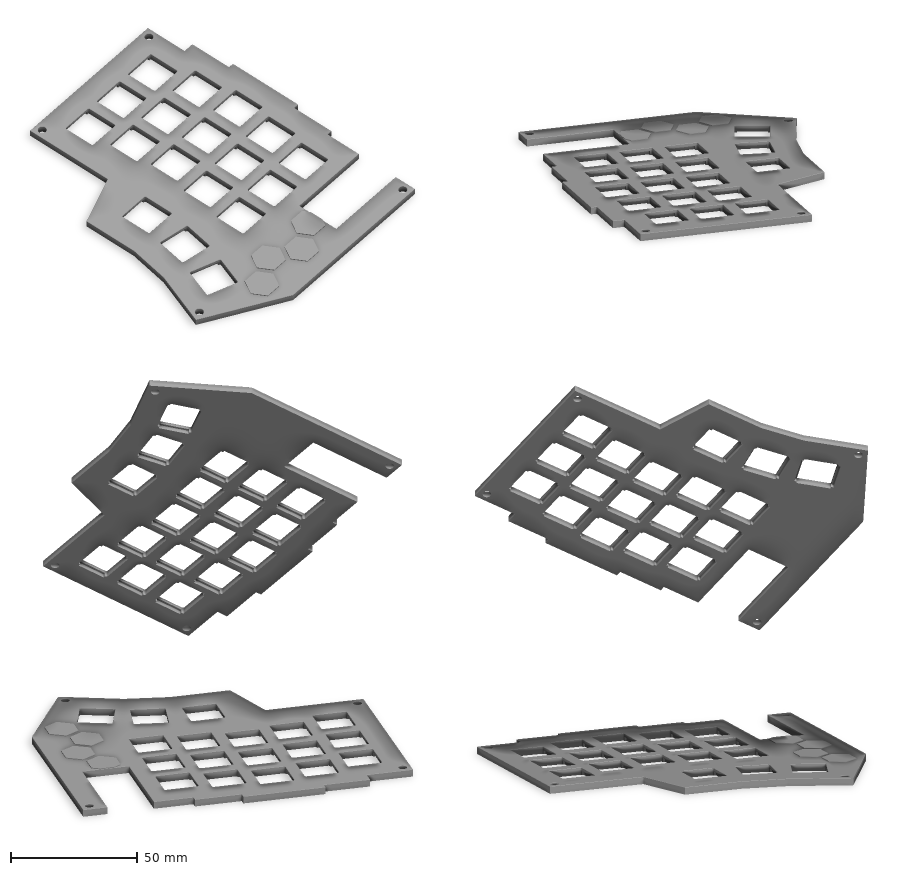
import cadquery as cq
import math


plate_width = 136.5
plate_thickness = 3.0
edge_chamfer = 0.1
left_height = 72.2
right_height = 74.7

rows = 3
columns = 3.662
pitch = 55.8 / (columns - 0.7324)
stagger = pitch / 8
column_shifts = [0, 2, 3, 2, 1]
first_key_x = 16.9
first_key_y = 17.0
key_size = 14.0
key_corner_radius = 0.5

clip_lip = 1.4
clip_depth = 1.0
clip_length = 12.3

thumb_keys = [
    (first_key_x + 2.5 * pitch, -4.5, 0),
    (86.2, -6.8, -10),
    (106.4, -13.0, -20),
]

upper_step_y = left_height + 2 * stagger
top_y = left_height + 3 * stagger
first_step_x = pitch
top_start_x = 2 * pitch
top_end_x = 72.0
shelf_start_x = 91.2

notch_left = 107.5
notch_width = 19.1
notch_right = notch_left + notch_width
notch_floor = 38.2

thumb_start_x = 40.3
thumb_left = 48.5
thumb_floor = -22.7
first_bend_x = 73.2
second_bend = (91.3, -26.0)
lowest_x = 115.8
plate_depth = 114.4
lowest_y = top_y - plate_depth

screw_hole_diameter = 3.4
screw_inset = 3.4
screw_points = [
    (screw_inset, screw_inset),
    (screw_inset, left_height - screw_inset),
    (plate_width - screw_inset, right_height - screw_inset),
    (114.0, -30.9),
]

hexagon_count = 4
hexagon_height = 0.4
hexagon_width = 12.0
hexagon_pitch = 14.0
first_hexagon_x = 116.3
first_hexagon_y = 33.0
hexagon_step_x = hexagon_pitch / 2
hexagon_step_y = hexagon_pitch * math.sqrt(3) / 2


def make_blank():
    """Solid plate with its full outline, including the notch."""
    outline = [
        (0, 0),
        (thumb_start_x, 0),
        (thumb_left, thumb_floor),
        (first_bend_x, thumb_floor),
        second_bend,
        (lowest_x, lowest_y),
        (plate_width, 0),
        (plate_width, right_height),
        (notch_right, right_height),
        (notch_right, notch_floor),
        (notch_left, notch_floor),
        (notch_left, right_height),
        (shelf_start_x, right_height),
        (shelf_start_x, upper_step_y),
        (top_end_x, upper_step_y),
        (top_end_x, top_y),
        (top_start_x, top_y),
        (top_start_x, upper_step_y),
        (first_step_x, upper_step_y),
        (first_step_x, left_height),
        (0, left_height),
    ]
    return cq.Workplane("XY").polyline(outline).close().extrude(plate_thickness)


def make_key_cutter(x, y, angle):
    """Square block with rounded corners, widened below for the clips, that cuts one key opening."""
    opening = (
        cq.Workplane("XY")
        .rect(key_size, key_size)
        .extrude(plate_thickness)
        .edges("|Z")
        .fillet(key_corner_radius)
    )
    clip_recesses = (
        cq.Workplane("XY")
        .rect(key_size + 2 * clip_depth, clip_length)
        .extrude(plate_thickness - clip_lip)
    )
    cutter = opening.union(clip_recesses)
    return cutter.rotate((0, 0, 0), (0, 0, 1), angle).translate((x, y, 0))


def make_plate():
    """Switch plate with the key openings and screw holes."""
    body = make_blank()
    for column, shift in enumerate(column_shifts):
        x = first_key_x + column * pitch
        for row in range(rows):
            y = first_key_y + row * pitch + shift * stagger
            body = body.cut(make_key_cutter(x, y, 0))
    for x, y, angle in thumb_keys:
        body = body.cut(make_key_cutter(x, y, angle))
    holes = (
        cq.Workplane("XY")
        .pushPoints(screw_points)
        .circle(screw_hole_diameter / 2)
        .extrude(plate_thickness)
    )
    return body.cut(holes).faces(">Z").chamfer(edge_chamfer)


def make_hexagon(index):
    """Thin hexagon on the plate with corners along Y, trimmed flush with the notch floor."""
    x = first_hexagon_x + (index % 2) * hexagon_step_x
    y = first_hexagon_y - index * hexagon_step_y
    corner_diameter = hexagon_width * 2 / math.sqrt(3)
    tile = (
        cq.Workplane("XY")
        .polygon(6, corner_diameter)
        .extrude(hexagon_height)
        .rotate((0, 0, 0), (0, 0, 1), 90)
        .translate((x, y, plate_thickness))
    )
    notch_space = cq.Workplane("XY").box(
        notch_width, right_height - notch_floor, plate_thickness + hexagon_height, centered=False
    )
    return tile.cut(notch_space.translate((notch_left, notch_floor, 0)))


plate = make_plate()
hexagons = [make_hexagon(index) for index in range(hexagon_count)]

result = cq.Compound.makeCompound([plate.val(), *[hexagon.val() for hexagon in hexagons]])